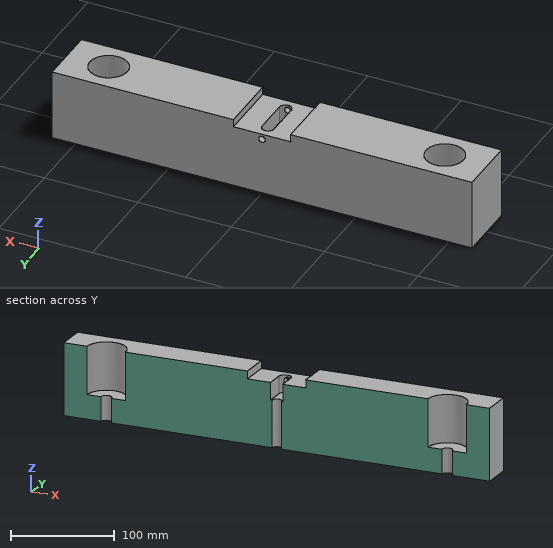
import cadquery as cq

length = 450.0
width = 65.0
height = 75.0

recess_length = 61.0
recess_depth = 8.0
recess_floor = height - recess_depth

slot_width = 12.5
slot_length = 50.5
slot_depth = 18.0
centre_hole_diameter = 10.0

cross_hole_diameter = 6.8
cross_hole_z = height - 14.0

mount_end_distance = 45.0
mount_x = length / 2 - mount_end_distance
mount_points = [(-mount_x, 0), (mount_x, 0)]
mount_hole_diameter = 11.0
counterbore_diameter = 40.0
counterbore_depth = 49.5


def level(z):
    """Horizontal workplane on the bar centre at height z."""
    return cq.Workplane("XY", origin=(0, 0, z))


bar = level(0).box(length, width, height, centered=(True, True, False))

recess = level(recess_floor).rect(recess_length, width).extrude(recess_depth)

slot = level(recess_floor).slot2D(slot_length, slot_width, 90).extrude(-slot_depth)
centre_hole = level(0).circle(centre_hole_diameter / 2).extrude(height)

cross_hole = (
    cq.Workplane("XZ", origin=(0, 0, cross_hole_z))
    .circle(cross_hole_diameter / 2)
    .extrude(width / 2, both=True)
)

mounting_holes = (
    level(0)
    .pushPoints(mount_points)
    .circle(mount_hole_diameter / 2)
    .extrude(height)
)
counterbores = (
    level(height)
    .pushPoints(mount_points)
    .circle(counterbore_diameter / 2)
    .extrude(-counterbore_depth)
)

result = bar
for cutter in (recess, slot, centre_hole, cross_hole, mounting_holes, counterbores):
    result = result.cut(cutter)